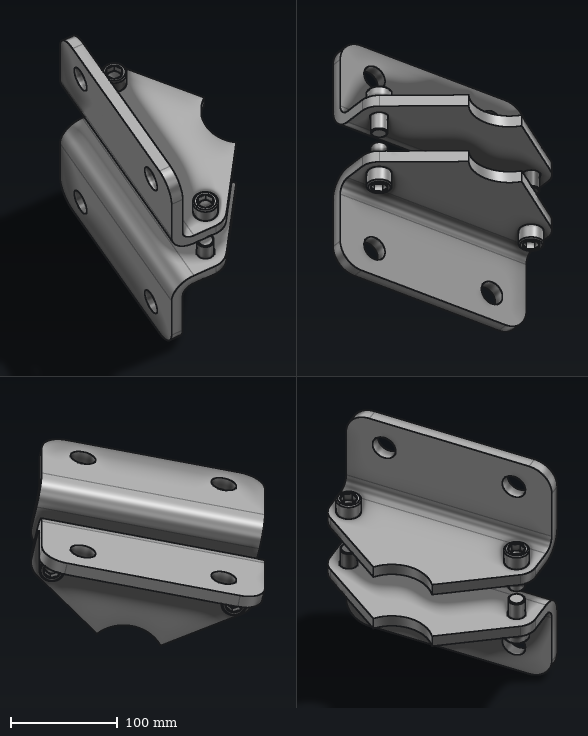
import cadquery as cq
import math


plate_width = 214.0
plate_thickness = 12.0
bracket_depth = 112.5
bracket_height = 100.0
gap_between_brackets = 50.0
outer_bend_radius = 24.0
inner_bend_radius = outer_bend_radius - plate_thickness
half_width = plate_width / 2

flange_corner_radius = 24.0
mounting_hole_diameter = 24.0
mounting_hole_spacing = 135.0
mounting_hole_from_edge = 30.0

shelf_shoulder_y = 47.5
notch_width = 61.0
notch_depth = 15.0

bolt_spacing = 174.8
bolt_y = shelf_shoulder_y
shelf_corner_radius = half_width - bolt_spacing / 2
bolt_hole_diameter = 17.5
shank_diameter = 16.0
shank_length = 30.0
shank_chamfer = 1.0
head_diameter = 24.0
head_height = 16.0
head_chamfer = 1.5
head_underside_chamfer = 0.5
socket_across_flats = 14.0
socket_depth = 8.0
socket_mouth_diameter = 16.2
socket_cone_angle = 120.0

shelf_bottom = gap_between_brackets / 2
shelf_top = shelf_bottom + plate_thickness
bracket_top = shelf_bottom + bracket_height


def make_bent_plate():
    """L-shaped strip bent from one sheet, extruded along X."""
    return (
        cq.Workplane("YZ")
        .moveTo(0, bracket_top)
        .lineTo(0, shelf_bottom)
        .lineTo(bracket_depth, shelf_bottom)
        .lineTo(bracket_depth, shelf_top)
        .lineTo(plate_thickness, shelf_top)
        .lineTo(plate_thickness, bracket_top)
        .close()
        .extrude(half_width, both=True)
        .edges(cq.selectors.NearestToPointSelector((0, 0, shelf_bottom)))
        .fillet(outer_bend_radius)
        .edges(cq.selectors.NearestToPointSelector((0, plate_thickness, shelf_top)))
        .fillet(inner_bend_radius)
    )


def make_shelf_outline():
    """Prism with the plan shape of the shelf: rounded shoulders, tapered sides and a round notch."""
    half_notch = notch_width / 2
    corner_center_x = half_width - shelf_corner_radius
    notch_offset_x = half_notch - corner_center_x
    notch_offset_y = bracket_depth - shelf_shoulder_y
    notch_direction = math.atan2(notch_offset_y, notch_offset_x)
    notch_distance = math.hypot(notch_offset_x, notch_offset_y)
    normal = notch_direction - math.acos(shelf_corner_radius / notch_distance)
    arc_middle = (
        corner_center_x + shelf_corner_radius * math.cos(normal / 2),
        shelf_shoulder_y + shelf_corner_radius * math.sin(normal / 2),
    )
    arc_end = (
        corner_center_x + shelf_corner_radius * math.cos(normal),
        shelf_shoulder_y + shelf_corner_radius * math.sin(normal),
    )
    return (
        cq.Workplane("XY")
        .moveTo(-half_width, 0)
        .lineTo(half_width, 0)
        .lineTo(half_width, shelf_shoulder_y)
        .threePointArc(arc_middle, arc_end)
        .lineTo(half_notch, bracket_depth)
        .threePointArc((0, bracket_depth - notch_depth), (-half_notch, bracket_depth))
        .lineTo(-arc_end[0], arc_end[1])
        .threePointArc((-arc_middle[0], arc_middle[1]), (-half_width, shelf_shoulder_y))
        .close()
        .extrude(bracket_top)
    )


def make_bracket():
    """Upper bracket with its mounting holes and bolt clearance holes."""
    plate = make_bent_plate().intersect(make_shelf_outline())
    plate = plate.edges("|Y and >Z").fillet(flange_corner_radius)

    half_spacing = mounting_hole_spacing / 2
    hole_z = bracket_top - mounting_hole_from_edge
    mounting_holes = (
        cq.Workplane("XZ")
        .pushPoints([(-half_spacing, hole_z), (half_spacing, hole_z)])
        .circle(mounting_hole_diameter / 2)
        .extrude(-plate_thickness)
    )
    bolt_holes = (
        cq.Workplane("XY", origin=(0, 0, shelf_bottom))
        .pushPoints([(-bolt_spacing / 2, bolt_y), (bolt_spacing / 2, bolt_y)])
        .circle(bolt_hole_diameter / 2)
        .extrude(plate_thickness)
    )
    return plate.cut(mounting_holes).cut(bolt_holes)


def make_socket():
    """Hexagonal recess, corners along Y, with a conical floor and a countersunk mouth."""
    across_corners = socket_across_flats / math.cos(math.pi / 6)
    floor_z = head_height - socket_depth
    hexagon = (
        cq.Workplane("XY", origin=(0, 0, floor_z))
        .transformed(rotate=(0, 0, 90))
        .polygon(6, across_corners)
        .extrude(socket_depth)
    )
    flat_radius = socket_across_flats / 2
    cone_slope = math.tan(math.radians(socket_cone_angle / 2))
    cone_depth = flat_radius / cone_slope
    drill_point = cq.Workplane(cq.Solid.makeCone(0, flat_radius, cone_depth)).translate(
        (0, 0, floor_z - cone_depth)
    )
    mouth_radius = socket_mouth_diameter / 2
    mouth_depth = (mouth_radius - flat_radius) / cone_slope
    mouth = cq.Workplane(cq.Solid.makeCone(flat_radius, mouth_radius, mouth_depth)).translate(
        (0, 0, head_height - mouth_depth)
    )
    return hexagon.union(drill_point).union(mouth)


def make_bolt():
    """Socket head bolt pointing down, with the underside of its head at Z = 0."""
    head = (
        cq.Workplane("XY")
        .circle(head_diameter / 2)
        .extrude(head_height)
        .faces(">Z")
        .edges()
        .chamfer(head_chamfer)
        .faces("<Z")
        .edges()
        .chamfer(head_underside_chamfer)
    )
    shank = (
        cq.Workplane("XY")
        .circle(shank_diameter / 2)
        .extrude(-shank_length)
        .faces("<Z")
        .edges()
        .chamfer(shank_chamfer)
    )
    return head.union(shank).cut(make_socket())


upper_bracket = make_bracket()
lower_bracket = upper_bracket.mirror("XY")

bolts = []
for side in (-1, 1):
    upper_bolt = make_bolt().translate((side * bolt_spacing / 2, bolt_y, shelf_top))
    bolts.append(upper_bolt)
    bolts.append(upper_bolt.mirror("XY"))

result = cq.Compound.makeCompound(
    [upper_bracket.val(), lower_bracket.val(), *[bolt.val() for bolt in bolts]]
)